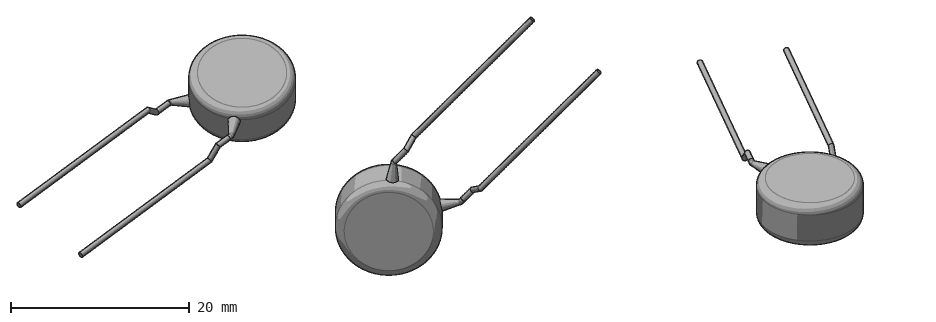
import cadquery as cq
import math

case_diameter = 12.0
case_height = 5.5
edge_radius = 1.0

wire_diameter = 0.65
lead_spacing = 10.0
lead_height = 1.45
crank_start_y = -8.52
crank_run = 1.3
lead_end_y = -29.8

elbow_corner_y = -6.45
elbow_bend_radius = 0.35
skirt_base_diameter = 1.5
skirt_base_distance = 5.7

left_side = (-1, -1, 0)
right_side = (1, 1, 0.33)

elbow_x = lead_spacing / 2
corner_distance = math.hypot(elbow_x, elbow_corner_y)
turn_angle = math.atan2(elbow_x, -elbow_corner_y)
tangent_length = elbow_bend_radius * math.tan(turn_angle / 2)
cone_tip_distance = corner_distance - tangent_length
elbow_end_y = elbow_corner_y - tangent_length
crank_end_y = crank_start_y - crank_run


def make_case():
    blank = cq.Workplane("XY").cylinder(case_height, case_diameter / 2)
    return blank.edges().fillet(edge_radius)


def radial_plane(x_sign, z_sign, distance):
    """Plane across the line from the case axis to one elbow corner, facing outward."""
    outward = cq.Vector(x_sign * elbow_x, elbow_corner_y, 0).normalized()
    origin = outward * distance + cq.Vector(0, 0, z_sign * lead_height)
    return cq.Plane(origin=origin, xDir=(0, 0, 1), normal=outward)


def make_skirt(x_sign, z_sign, stub_length, case):
    """Cone, elbow and stub, fitted against the rounded surface of the case."""
    cone = (
        cq.Workplane(radial_plane(x_sign, z_sign, skirt_base_distance))
        .circle(skirt_base_diameter / 2)
        .workplane(offset=cone_tip_distance - skirt_base_distance)
        .circle(wire_diameter / 2)
        .loft()
    )

    tip_plane = radial_plane(x_sign, z_sign, cone_tip_distance)
    elbow_end = cq.Vector(x_sign * elbow_x, elbow_end_y, z_sign * lead_height)
    bend = cq.Edge.makeTangentArc(tip_plane.origin, tip_plane.zDir, elbow_end)
    path = [bend]
    if stub_length:
        path.append(cq.Edge.makeLine(elbow_end, elbow_end - cq.Vector(0, stub_length, 0)))
    elbow = (
        cq.Workplane(tip_plane)
        .circle(wire_diameter / 2)
        .sweep(cq.Workplane(cq.Wire.assembleEdges(path)))
    )
    return cone.cut(case).union(elbow)


def make_lead(x_sign, z_sign, stub_length):
    """Round wire from the end of the skirt to the free end, with sharp mitred bends."""
    x = x_sign * elbow_x
    z = z_sign * lead_height
    start = (x, elbow_end_y - stub_length, z)
    path = cq.Workplane("XY").polyline([
        start,
        (x, crank_start_y, z),
        (x, crank_end_y, 0),
        (x, lead_end_y, 0),
    ])
    section = cq.Workplane("XZ", origin=start).circle(wire_diameter / 2)
    return section.sweep(path, transition="right")


case = make_case()
skirts = [make_skirt(*side, case) for side in (left_side, right_side)]
leads = [make_lead(*side) for side in (left_side, right_side)]

bodies = [case, *skirts, *leads]
result = cq.Compound.makeCompound([body.solids().val() for body in bodies])